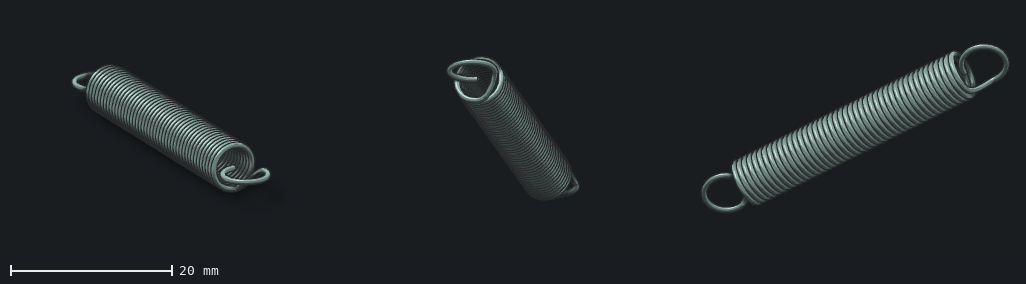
import math

import cadquery as cq

outer_diameter = 6.35
overall_length = 44.45
wire_diameter = 0.737
full_turns = 43
last_turn = 0.5
coil_gap = 0.01
loop_sweep_angle = 270
bend_roundness = 0.552

wire_radius = wire_diameter / 2
mean_radius = (outer_diameter - wire_diameter) / 2
pitch = wire_diameter + coil_gap
coil_start_x = -(full_turns + last_turn) * pitch / 2
loop_center_x = -(overall_length - outer_diameter) / 2


def sweep_wire(path, start, direction):
    """Sweep the round wire section along a path from its start point."""
    section_plane = cq.Plane(origin=start, normal=direction)
    return cq.Workplane(section_plane).circle(wire_radius).sweep(path, isFrenet=True).val()


def make_turn(turns, start_x):
    """Right-handed helical piece of wire around X, starting at the top of the coil."""
    turn_plane = cq.Plane(origin=(start_x, 0, 0), xDir=(0, 0, 1), normal=(1, 0, 0))
    helix = cq.Wire.makeHelix(pitch, turns * pitch, mean_radius).moved(cq.Location(turn_plane))
    return sweep_wire(helix, helix.startPoint(), helix.tangentAt(0))


def make_coil_turns():
    """Close-wound coil as a list of turns joined end to end along X."""
    full_turn = make_turn(1, coil_start_x)
    turns = [full_turn.translate(cq.Vector(i * pitch, 0, 0)) for i in range(full_turns)]
    turns.append(make_turn(last_turn, coil_start_x + full_turns * pitch))
    return turns


def make_loop():
    """Three-quarter ring in the XY plane, open on the side of the bend (left end)."""
    section = cq.Workplane("YZ", origin=(loop_center_x, mean_radius, 0)).circle(wire_radius)
    return section.revolve(loop_sweep_angle, (-mean_radius, 0, 0), (-mean_radius, 1, 0)).val()


def make_bend():
    """Bend that carries the wire from the loop up to the top of the first turn (left end)."""
    loop_point = cq.Vector(loop_center_x, mean_radius, 0)
    coil_point = cq.Vector(coil_start_x, 0, mean_radius)
    loop_direction = cq.Vector(1, 0, 0)
    coil_direction = cq.Vector(pitch, -2 * math.pi * mean_radius, 0).normalized()
    handle = bend_roundness * mean_radius
    curve = cq.Edge.makeBezier([
        loop_point,
        loop_point + loop_direction * handle,
        coil_point - coil_direction * handle,
        coil_point,
    ])
    return sweep_wire(cq.Wire.assembleEdges([curve]), loop_point, loop_direction)


left_end = [make_loop(), make_bend()]
right_end = [piece.rotate((0, 0, 0), (0, 1, 0), 180) for piece in left_end]

first_turn, *other_turns = make_coil_turns()
spring = first_turn.fuse(*other_turns, *left_end, *right_end)
result = cq.Workplane(spring.Solids()[0])